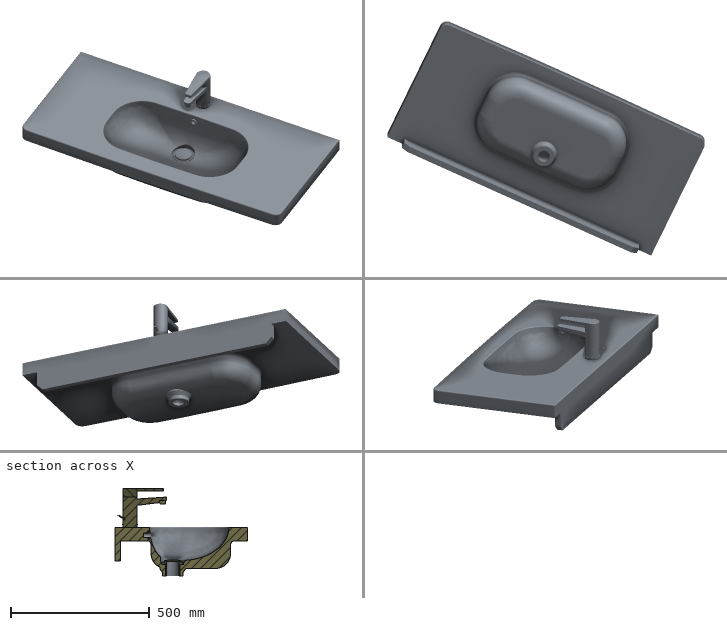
import cadquery as cq
import math


TOP_WIDTH = 1050.35
TOP_DEPTH = 480.0
TOP_THICKNESS = 50.0
FRONT_BOW = 5.0
FRONT_CORNER_RADIUS = 27.0
TOP_EDGE_RADIUS = 4.5

RAIL_WIDTH = 935.0
RAIL_THICKNESS = 21.0
RAIL_BOTTOM = -123.0
RAIL_CHAMFER = 22.0

RIM_WIDTH = 530.0
RIM_BACK = -126.0
RIM_FRONT = -411.0
RIM_BOW = 6.0
RIM_CORNER_RADIUS = 113.0
RIM_EDGE_RADIUS = 3.0
BOWL_DEPTH = 121.0
BOWL_SECTIONS = 7
BOWL_FULLNESS = 2.4
BOWL_LAST_ANGLE = 87.0
SHELL_WIDTH = 540.0
SHELL_BACK = -129.5
SHELL_FRONT = -419.0
SHELL_CORNER_RADIUS = 108.0
SHELL_BOTTOM = -150.0
SHELL_BOTTOM_RADIUS = 57.5
SHELL_FLARE = 12.0

SELECTION_MARGIN = 1.0

DRAIN_Y = -209.0
PIPE_DIAMETER = 75.0
PIPE_BOTTOM = -177.5
PIPE_COLLAR_DIAMETER = 95.0
PIPE_COLLAR_HEIGHT = 14.0
RECESS_DIAMETER = 85.0
RECESS_FLOOR = -126.0
RECESS_TOP = -100.0
FLANGE_DIAMETER = 75.0
FLANGE_TOP = -124.0
FLANGE_BOTTOM = -133.0
TAIL_DIAMETER = 50.0
TAIL_BORE = 42.0
PLUG_DIAMETER = 60.0
PLUG_EDGE_HEIGHT = 5.0
PLUG_DOME_HEIGHT = 2.5

OVERFLOW_Z = -29.0
OVERFLOW_RING_DIAMETER = 25.0
OVERFLOW_BORE = 16.0
OVERFLOW_RING_FRONT = -130.5
OVERFLOW_RING_BACK = -120.0
OVERFLOW_PASSAGE_BACK = -105.0

FAUCET_Y = -55.0
FAUCET_DIAMETER = 52.0
BASE_RING_DIAMETER = 55.0
BASE_RING_BOTTOM = 8.0
BASE_RING_TOP = 10.0
BODY_TOP = 110.5
HANDLE_TOP = 140.57
LEVER_THICKNESS = 11.5
LEVER_TIP_Y = -177.5
LEVER_ROOT_WIDTH = 51.0
LEVER_TIP_WIDTH = 24.0
LEVER_TIP_RADIUS = 5.0
LEVER_EDGE_CHAMFER = 2.0
SPOUT_TIP_Y = -187.5
SPOUT_ROOT_WIDTH = 46.0
SPOUT_TIP_WIDTH = 26.0
SPOUT_ROOT_TOP = 101.0
SPOUT_TIP_TOP = 109.5
SPOUT_ROOT_BOTTOM = 75.0
SPOUT_TIP_BOTTOM = 91.0
SPOUT_TIP_RADIUS = 11.0
SPOUT_LOWER_CHAMFER = 7.0
AERATOR_DIAMETER = 20.0
AERATOR_Y = -173.0
AERATOR_BOTTOM = 82.0
AERATOR_SOCKET_TOP = 95.0

ROD_WIDTH = 8.0
ROD_THICKNESS = 4.5
ROD_TIP = (-9.0, 43.5)
ROD_KNEE = (-16.0, 43.5)
ROD_END = (-36.0, 31.0)


def cylinder(diameter, y, bottom, top):
    """Upright cylinder on the X = 0 plane."""
    return cq.Workplane("XY", origin=(0, y, bottom)).circle(diameter / 2).extrude(top - bottom)


def bowl_outline(width, back, front, radius, scale, z):
    """Rounded bowl outline with bowed long sides, scaled towards the drain axis."""
    half = scale * width / 2
    bow = scale * RIM_BOW
    y_back = DRAIN_Y + scale * (back - DRAIN_Y)
    y_front = DRAIN_Y + scale * (front - DRAIN_Y)
    outline = (
        cq.Workplane("XY")
        .moveTo(-half, y_front + bow)
        .threePointArc((0, y_front), (half, y_front + bow))
        .lineTo(half, y_back - bow)
        .threePointArc((0, y_back), (-half, y_back - bow))
        .close()
        .wire()
        .val()
    )
    rounded = outline.fillet2D(scale * radius, outline.Vertices())
    return rounded.translate(cq.Vector(0, 0, z))


def box_around(width, back, front, z):
    """Selector for the edges of a bowl outline lying at height z."""
    return cq.selectors.BoxSelector(
        (-width / 2 - SELECTION_MARGIN, front - SELECTION_MARGIN, z - SELECTION_MARGIN),
        (width / 2 + SELECTION_MARGIN, back + SELECTION_MARGIN, z + SELECTION_MARGIN),
    )


def make_countertop():
    half = TOP_WIDTH / 2
    corner_y = -TOP_DEPTH + FRONT_BOW
    slab = (
        cq.Workplane("XY", origin=(0, 0, -TOP_THICKNESS))
        .moveTo(-half, 0)
        .lineTo(-half, corner_y)
        .threePointArc((0, -TOP_DEPTH), (half, corner_y))
        .lineTo(half, 0)
        .close()
        .extrude(TOP_THICKNESS)
    )
    slab = slab.edges("|Z").edges("<Y").fillet(FRONT_CORNER_RADIUS)
    return slab.faces(">Z").edges().fillet(TOP_EDGE_RADIUS)


def make_rail():
    height = -TOP_THICKNESS - RAIL_BOTTOM
    rail = cq.Workplane("XY", origin=(0, -RAIL_THICKNESS / 2, RAIL_BOTTOM)).box(
        RAIL_WIDTH, RAIL_THICKNESS, height, centered=(True, True, False)
    )
    return rail.edges("|Y and <Z").chamfer(RAIL_CHAMFER)


def make_shell():
    """Outside of the bowl below the countertop, before it is hollowed."""
    wire = bowl_outline(SHELL_WIDTH, SHELL_BACK, SHELL_FRONT, SHELL_CORNER_RADIUS, 1.0, SHELL_BOTTOM)
    height = -TOP_THICKNESS - SHELL_BOTTOM
    shell = cq.Workplane(cq.Solid.extrudeLinear(wire, [], cq.Vector(0, 0, height)))
    return shell.faces("<Z").edges().fillet(SHELL_BOTTOM_RADIUS)


def make_cavity():
    """Bowl interior: outlines shrinking towards the drain along a superelliptic wall."""
    wires = []
    for i in range(BOWL_SECTIONS):
        angle = math.radians(BOWL_LAST_ANGLE * i / (BOWL_SECTIONS - 1))
        scale = math.cos(angle) ** (2 / BOWL_FULLNESS)
        depth = -BOWL_DEPTH * math.sin(angle)
        wires.append(bowl_outline(RIM_WIDTH, RIM_BACK, RIM_FRONT, RIM_CORNER_RADIUS, scale, depth))
    return cq.Workplane(cq.Solid.makeLoft(wires))


def make_pipe():
    """Drain outlet under the bowl with a conical collar where it leaves the shell."""
    pipe = cylinder(PIPE_DIAMETER, DRAIN_Y, PIPE_BOTTOM, FLANGE_BOTTOM)
    collar = cq.Workplane(
        cq.Solid.makeCone(
            PIPE_DIAMETER / 2,
            PIPE_COLLAR_DIAMETER / 2,
            PIPE_COLLAR_HEIGHT,
            cq.Vector(0, DRAIN_Y, SHELL_BOTTOM - PIPE_COLLAR_HEIGHT),
            cq.Vector(0, 0, 1),
        )
    )
    collar_root = cylinder(PIPE_COLLAR_DIAMETER, DRAIN_Y, SHELL_BOTTOM, FLANGE_BOTTOM)
    return pipe.union(collar).union(collar_root)


def overflow_cylinder(diameter, front, back):
    """Cylinder along Y at the overflow position."""
    plane = cq.Workplane("XZ", origin=(0, back, OVERFLOW_Z))
    return plane.circle(diameter / 2).extrude(back - front)


def make_basin():
    top = make_countertop().union(make_shell())
    junction = box_around(SHELL_WIDTH, SHELL_BACK, SHELL_FRONT, -TOP_THICKNESS)
    top = top.edges(junction).fillet(SHELL_FLARE)
    basin = top.cut(make_cavity())
    rim = box_around(RIM_WIDTH, RIM_BACK, RIM_FRONT, 0)
    basin = basin.edges(rim).fillet(RIM_EDGE_RADIUS)
    basin = basin.union(make_rail()).union(make_pipe())
    basin = basin.cut(cylinder(RECESS_DIAMETER, DRAIN_Y, RECESS_FLOOR, RECESS_TOP))
    basin = basin.cut(cylinder(FLANGE_DIAMETER, DRAIN_Y, FLANGE_BOTTOM, FLANGE_TOP))
    basin = basin.cut(cylinder(TAIL_DIAMETER, DRAIN_Y, PIPE_BOTTOM, FLANGE_BOTTOM))
    basin = basin.cut(overflow_cylinder(OVERFLOW_RING_DIAMETER, OVERFLOW_RING_FRONT, OVERFLOW_RING_BACK))
    return basin.cut(overflow_cylinder(OVERFLOW_BORE, OVERFLOW_RING_BACK, OVERFLOW_PASSAGE_BACK))


def make_drain():
    flange = cylinder(FLANGE_DIAMETER, DRAIN_Y, FLANGE_BOTTOM, FLANGE_TOP)
    tail = cylinder(TAIL_DIAMETER, DRAIN_Y, PIPE_BOTTOM, FLANGE_BOTTOM)
    return flange.union(tail).cut(cylinder(TAIL_BORE, DRAIN_Y, PIPE_BOTTOM, FLANGE_TOP))


def make_plug():
    """Domed stopper resting on the drain flange."""
    dome_radius = ((PLUG_DIAMETER / 2) ** 2 + PLUG_DOME_HEIGHT**2) / (2 * PLUG_DOME_HEIGHT)
    dome_top = FLANGE_TOP + PLUG_EDGE_HEIGHT + PLUG_DOME_HEIGHT
    dome = cq.Workplane("XY", origin=(0, DRAIN_Y, dome_top - dome_radius)).sphere(dome_radius)
    return cylinder(PLUG_DIAMETER, DRAIN_Y, FLANGE_TOP, dome_top).intersect(dome)


def make_overflow_ring():
    ring = overflow_cylinder(OVERFLOW_RING_DIAMETER, OVERFLOW_RING_FRONT, OVERFLOW_RING_BACK)
    return ring.cut(overflow_cylinder(OVERFLOW_BORE, OVERFLOW_RING_FRONT, OVERFLOW_RING_BACK))


def tapered_plan(root_width, tip_width, tip_y, bottom, top):
    """Block narrowing from the faucet axis to its tip."""
    return (
        cq.Workplane("XY", origin=(0, 0, bottom))
        .polyline(
            [
                (-root_width / 2, FAUCET_Y),
                (-tip_width / 2, tip_y),
                (tip_width / 2, tip_y),
                (root_width / 2, FAUCET_Y),
            ]
        )
        .close()
        .extrude(top - bottom)
    )


def make_spout():
    """Arm narrowing and rising from the faucet axis to its tip."""
    plan = tapered_plan(SPOUT_ROOT_WIDTH, SPOUT_TIP_WIDTH, SPOUT_TIP_Y, 0, BODY_TOP)
    plan = plan.edges("|Z").edges("<Y").fillet(SPOUT_TIP_RADIUS)
    side = (
        cq.Workplane("YZ", origin=(-SPOUT_ROOT_WIDTH / 2, 0, 0))
        .polyline(
            [
                (FAUCET_Y, SPOUT_ROOT_BOTTOM),
                (SPOUT_TIP_Y, SPOUT_TIP_BOTTOM),
                (SPOUT_TIP_Y, SPOUT_TIP_TOP),
                (FAUCET_Y, SPOUT_ROOT_TOP),
            ]
        )
        .close()
        .extrude(SPOUT_ROOT_WIDTH)
    )
    spout = plan.intersect(side)
    return spout.faces("<Z").edges("not |X").chamfer(SPOUT_LOWER_CHAMFER)


def make_aerator():
    return cylinder(AERATOR_DIAMETER, AERATOR_Y, AERATOR_BOTTOM, AERATOR_SOCKET_TOP)


def make_rod():
    """Flat bent rod: level at its tip, then sloping down into the faucet."""
    tip_y, tip_z = ROD_TIP
    knee_y, knee_z = ROD_KNEE
    end_y, end_z = ROD_END
    return (
        cq.Workplane("YZ", origin=(-ROD_WIDTH / 2, 0, 0))
        .polyline(
            [
                (tip_y, tip_z),
                (knee_y, knee_z),
                (end_y, end_z),
                (end_y, end_z - ROD_THICKNESS),
                (knee_y, knee_z - ROD_THICKNESS),
                (tip_y, tip_z - ROD_THICKNESS),
            ]
        )
        .close()
        .extrude(ROD_WIDTH)
    )


def make_faucet():
    column = cylinder(FAUCET_DIAMETER, FAUCET_Y, 0, BODY_TOP)
    ring = cylinder(BASE_RING_DIAMETER, FAUCET_Y, BASE_RING_BOTTOM, BASE_RING_TOP)
    faucet = column.union(ring).union(make_spout())
    return faucet.cut(make_aerator()).cut(make_rod())


def make_handle():
    """Round cap with a flat lever tapering towards the front."""
    cap = cylinder(FAUCET_DIAMETER, FAUCET_Y, BODY_TOP, HANDLE_TOP)
    underside = HANDLE_TOP - LEVER_THICKNESS
    lever = tapered_plan(LEVER_ROOT_WIDTH, LEVER_TIP_WIDTH, LEVER_TIP_Y, underside, HANDLE_TOP)
    lever = lever.edges("|Z").edges("<Y").fillet(LEVER_TIP_RADIUS)
    return cap.union(lever).faces(">Z").edges().chamfer(LEVER_EDGE_CHAMFER)


basin = make_basin()
drain = make_drain()
plug = make_plug()
overflow_ring = make_overflow_ring()
faucet = make_faucet()
handle = make_handle()
aerator = make_aerator()
rod = make_rod()

result = cq.Compound.makeCompound(
    [
        basin.val(),
        drain.val(),
        plug.val(),
        overflow_ring.val(),
        faucet.val(),
        handle.val(),
        aerator.val(),
        rod.val(),
    ]
)